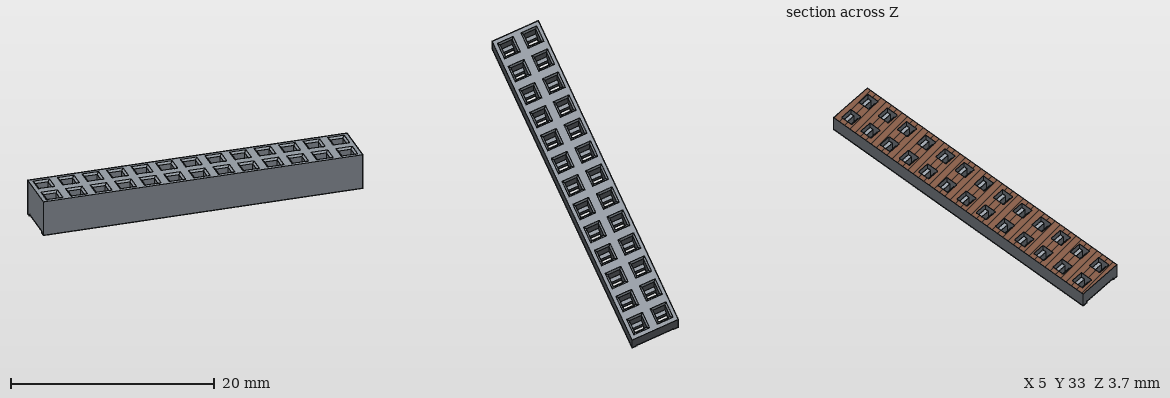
import cadquery as cq

pitch = 2.54
column_count = 2
row_count = 13
body_width = 5.0
body_length = row_count * pitch
body_height = 3.7

channel_width = 3.9
channel_depth = 0.2

mouth_size = 1.7
pocket_size = 1.3
mouth_depth = 0.2
pocket_depth = 2.5
slit_width = 0.5


def make_body():
    """Plain rectangular block."""
    return cq.Workplane("XY").box(body_width, body_length, body_height, centered=(True, True, False))


def make_channel():
    """Full-length channel that relieves the underside between the rails."""
    return cq.Workplane("XY").box(channel_width, body_length, channel_depth, centered=(True, True, False))


def make_cavity():
    """Cutting shape for one contact cavity, centred on the Z axis."""
    mouth = (
        cq.Workplane("XY", origin=(0, 0, body_height - mouth_depth))
        .rect(pocket_size, pocket_size)
        .workplane(offset=mouth_depth)
        .rect(mouth_size, mouth_size)
        .loft(ruled=True)
    )
    pocket = (
        cq.Workplane("XY", origin=(0, 0, body_height - pocket_depth))
        .rect(pocket_size, pocket_size)
        .extrude(pocket_depth - mouth_depth)
    )
    slit = cq.Workplane("XY").rect(pocket_size, slit_width).extrude(body_height - pocket_depth)
    return mouth.union(pocket).union(slit)


def cut_cavities(body):
    """Cut the grid of contact cavities, evenly pitched about the centre."""
    cavity = make_cavity().val()
    grid = cq.Workplane("XY").rarray(pitch, pitch, column_count, row_count)
    return body.cut(grid.eachpoint(lambda place: cavity.moved(place)))


result = cut_cavities(make_body().cut(make_channel()))